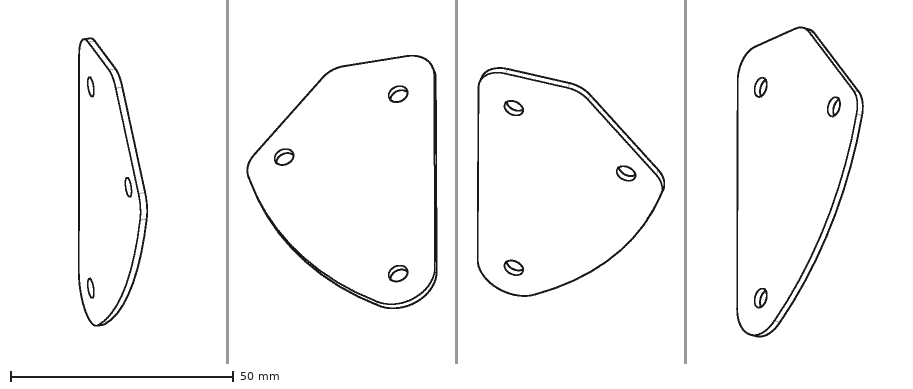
import cadquery as cq
import math

height = 69.7
width = 43.7
thickness = 1.6

corner_radius = 6.35
foot_radius = 8.6

left_edge_lean = 0.2

top_edge_end = 21.25
slope_angle = math.radians(49.8)

nose_center_z = 44.5
nose_end_angle = math.radians(-18)
foot_end_angle = math.radians(-54)
bulge_point = (32.9, 20.5)

hole_diameter = 4.4
left_hole_x = foot_radius
hole_centers = [
    (left_hole_x, foot_radius),
    (left_hole_x, 59.3),
    (35.1, 46.7),
]


def point_on_circle(center, radius, angle):
    return (
        center[0] + radius * math.cos(angle),
        center[1] + radius * math.sin(angle),
    )


def make_plate():
    foot_center = (foot_radius, foot_radius)
    left_center = (left_edge_lean + corner_radius, height - corner_radius)
    top_center = (top_edge_end, height - corner_radius)
    nose_center = (width - corner_radius, nose_center_z)
    slope_normal = math.pi / 2 - slope_angle

    return (
        cq.Workplane("XZ")
        .moveTo(0, foot_radius)
        .lineTo(left_edge_lean, left_center[1])
        .threePointArc(
            point_on_circle(left_center, corner_radius, math.radians(135)),
            (left_center[0], height),
        )
        .lineTo(top_edge_end, height)
        .threePointArc(
            point_on_circle(top_center, corner_radius, (math.pi / 2 + slope_normal) / 2),
            point_on_circle(top_center, corner_radius, slope_normal),
        )
        .lineTo(*point_on_circle(nose_center, corner_radius, slope_normal))
        .threePointArc(
            (width, nose_center_z),
            point_on_circle(nose_center, corner_radius, nose_end_angle),
        )
        .threePointArc(
            bulge_point,
            point_on_circle(foot_center, foot_radius, foot_end_angle),
        )
        .threePointArc(
            point_on_circle(foot_center, foot_radius, math.radians(-135)),
            (0, foot_radius),
        )
        .close()
        .extrude(thickness)
    )


def make_holes():
    return (
        cq.Workplane("XZ")
        .pushPoints(hole_centers)
        .circle(hole_diameter / 2)
        .extrude(thickness)
    )


result = make_plate().cut(make_holes())